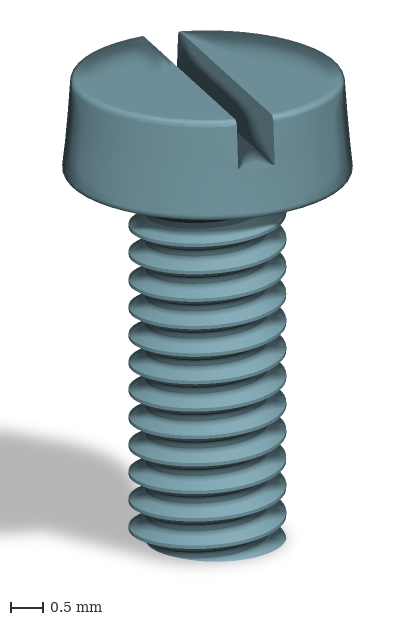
import cadquery as cq
import math

TOTAL_LENGTH = 7.6

HEAD_DIAMETER = 4.5
HEAD_HEIGHT = 1.595
HEAD_TAPER = 5.0
HEAD_EDGE_RADIUS = 0.1
SLOT_WIDTH = 0.6
SLOT_DEPTH = 0.8

THREAD_DIAMETER = 2.43
CORE_DIAMETER = 1.915
TURNS_PER_SPAN = 10
TURN_SPAN = 4.5
PITCH = TURN_SPAN / TURNS_PER_SPAN
CREST_WIDTH = PITCH / 8
FLANK_ANGLE = 30.0
FIRST_CREST_HEIGHT = 0.335
ROOT_OVERLAP = 0.02

SHANK_LENGTH = TOTAL_LENGTH - HEAD_HEIGHT
CORE_RADIUS = CORE_DIAMETER / 2
THREAD_RADIUS = THREAD_DIAMETER / 2


def make_head():
    """Tapered disc with rounded rims and a driver slot along X."""
    head = (
        cq.Workplane("XY")
        .circle(HEAD_DIAMETER / 2)
        .extrude(HEAD_HEIGHT, taper=HEAD_TAPER)
        .faces("<Z or >Z")
        .edges()
        .fillet(HEAD_EDGE_RADIUS)
    )
    slot = (
        cq.Workplane("XY")
        .workplane(offset=HEAD_HEIGHT - SLOT_DEPTH)
        .rect(HEAD_DIAMETER, SLOT_WIDTH)
        .extrude(SLOT_DEPTH)
    )
    return head.cut(slot)


def make_ridge():
    """Right-hand helical ridge that runs past both ends of the shank."""
    start_z = -SHANK_LENGTH + FIRST_CREST_HEIGHT - 2 * PITCH
    end_z = PITCH
    inner_radius = CORE_RADIUS - ROOT_OVERLAP
    half_crest = CREST_WIDTH / 2
    half_root = half_crest + (THREAD_RADIUS - inner_radius) * math.tan(math.radians(FLANK_ANGLE))
    path = cq.Wire.makeHelix(PITCH, end_z - start_z, CORE_RADIUS, center=cq.Vector(0, 0, start_z))
    return (
        cq.Workplane("XZ")
        .moveTo(inner_radius, start_z - half_root)
        .lineTo(THREAD_RADIUS, start_z - half_crest)
        .lineTo(THREAD_RADIUS, start_z + half_crest)
        .lineTo(inner_radius, start_z + half_root)
        .close()
        .sweep(cq.Workplane(path), isFrenet=True)
    )


def make_shank():
    """Core and ridge joined over-length, then cut flat at the tip and at the seat."""
    end_allowance = 4 * PITCH
    core = (
        cq.Workplane("XY")
        .workplane(offset=end_allowance)
        .circle(CORE_RADIUS)
        .extrude(-SHANK_LENGTH - 2 * end_allowance)
    )
    envelope = cq.Workplane("XY").rect(HEAD_DIAMETER, HEAD_DIAMETER).extrude(-SHANK_LENGTH)
    return core.union(make_ridge()).intersect(envelope)


result = make_head().union(make_shank())